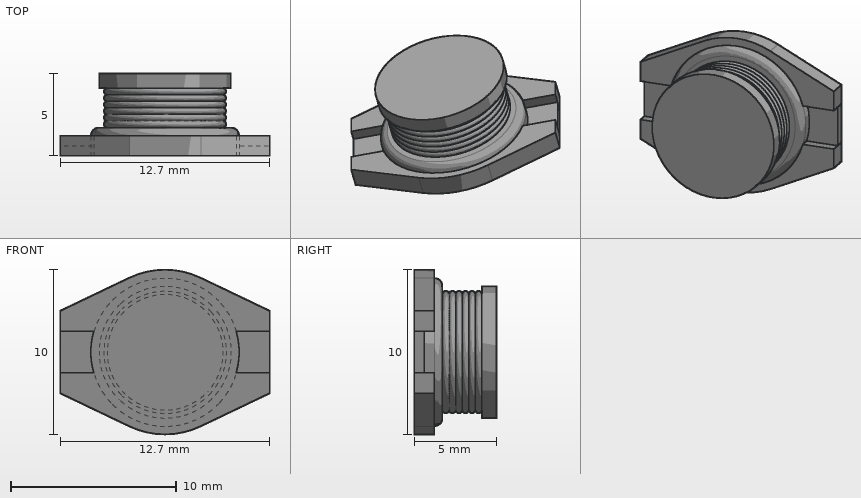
import cadquery as cq
import math

length = 12.7
height = 10.0
depth = 5.0
plate_thickness = 1.22
end_height = 5.0

shoulder_radius = 4.5
shoulder_height = 0.5
flange_radius = 4.0
flange_thickness = 0.9
winding_radius = 3.71
turns = 6

terminal_width = 2.5
terminal_thickness = plate_thickness / 2

shoulder_end = plate_thickness + shoulder_height
flange_start = depth - flange_thickness
turn_pitch = (flange_start - shoulder_end) / turns
wire_radius = turn_pitch / 2
groove_radius = winding_radius - wire_radius


def extrude_back(sketch, thickness):
    """Extrude an XZ sketch from the front face towards +Y."""
    return sketch.extrude(-thickness)


def make_plate():
    """Plate with straight sides tangent to round top and bottom edges."""
    arc_radius = height / 2
    corner_x = length / 2
    corner_z = end_height / 2
    corner_distance = math.hypot(corner_x, corner_z)
    tangent_angle = math.atan2(corner_z, corner_x) + math.acos(arc_radius / corner_distance)
    tangent_x = arc_radius * math.cos(tangent_angle)
    tangent_z = arc_radius * math.sin(tangent_angle)
    outline = (
        cq.Workplane("XZ")
        .moveTo(-corner_x, -corner_z)
        .lineTo(-corner_x, corner_z)
        .lineTo(-tangent_x, tangent_z)
        .threePointArc((0, arc_radius), (tangent_x, tangent_z))
        .lineTo(corner_x, corner_z)
        .lineTo(corner_x, -corner_z)
        .lineTo(tangent_x, -tangent_z)
        .threePointArc((0, -arc_radius), (-tangent_x, -tangent_z))
        .close()
    )
    return extrude_back(outline, plate_thickness)


def make_end_block(side, thickness):
    """Block at one end (side = -1 or 1), with an inner face on the shoulder cylinder."""
    block_center = side * length / 4
    block = extrude_back(
        cq.Workplane("XZ").center(block_center, 0).rect(length / 2, terminal_width), thickness
    )
    cylinder = extrude_back(cq.Workplane("XZ").circle(shoulder_radius), thickness)
    return block.cut(cylinder)


def make_spool():
    """Revolved shoulder, wire turns and rear flange."""
    profile = (
        cq.Workplane("XY")
        .moveTo(0, plate_thickness)
        .lineTo(shoulder_radius, plate_thickness)
        .radiusArc((shoulder_radius - shoulder_height, shoulder_end), -shoulder_height)
        .lineTo(groove_radius, shoulder_end)
    )
    for turn in range(turns):
        turn_start = shoulder_end + turn * turn_pitch
        profile = profile.threePointArc(
            (winding_radius, turn_start + wire_radius),
            (groove_radius, turn_start + turn_pitch),
        )
    profile = (
        profile.lineTo(flange_radius, flange_start)
        .lineTo(flange_radius, depth)
        .lineTo(0, depth)
        .close()
    )
    return profile.revolve(360, (0, 0, 0), (0, 1, 0))


def make_body():
    """Plate and wound spool in one solid, with a notch at each end."""
    body = make_plate()
    for side in (-1, 1):
        body = body.cut(make_end_block(side, plate_thickness))
    return body.union(make_spool())


body = make_body()

terminal_solids = [make_end_block(side, terminal_thickness).solids().val() for side in (-1, 1)]

result = cq.Compound.makeCompound([body.solids().val(), *terminal_solids])